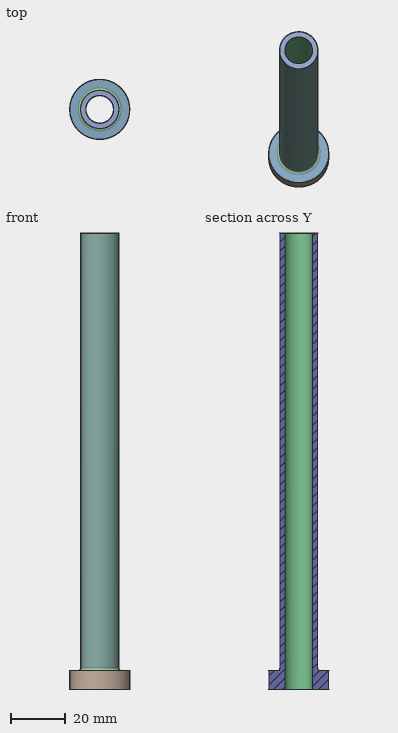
import cadquery as cq

total_length = 167.0
flange_diameter = 22.0
flange_height = 7.0
tube_diameter = 14.0
bore_diameter = 10.0
root_fillet = 0.8

flange = cq.Workplane("XY").circle(flange_diameter / 2).extrude(flange_height)
sleeve = flange.union(cq.Workplane("XY").circle(tube_diameter / 2).extrude(total_length))

flange_top_edges = sleeve.faces("<Z[1]").edges("%CIRCLE")
tube_root = flange_top_edges.filter(lambda edge: edge.radius() < flange_diameter / 2 - root_fillet)
sleeve = tube_root.fillet(root_fillet)

bore = cq.Workplane("XY").circle(bore_diameter / 2).extrude(total_length)
result = sleeve.cut(bore)